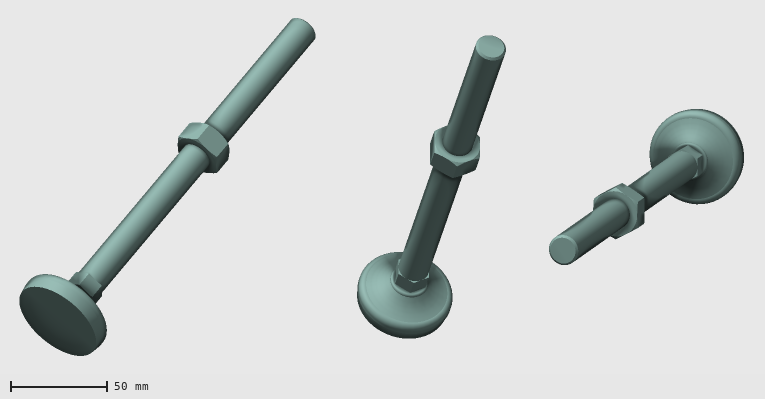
import cadquery as cq
import math

total_length = 229

foot_diameter = 50.0
sole_diameter = 48.0
rim_band_start = 5.5
rim_band_end = 7.5
rim_round = 3.5
rim_top = rim_band_end + rim_round
foot_top = 18.8
foot_top_radius = 8.7
foot_top_round = 1.4
flare_mid_radius = 13.7
flare_mid_height = 14.5

rod_diameter = 16.0
rod_end_chamfer = 1.1
neck_diameter = 10.0
wrench_hex_start = 20.2
wrench_hex_end = 29.0

nut_across_flats = 24.0
nut_start = 129.4
nut_end = 141.8
nut_lower_chamfer = 0.7
nut_upper_chamfer = 1.1


def cylinder(diameter, start, end):
    """Round bar along Y from start to end."""
    plane = cq.Workplane("XZ", origin=(0, start, 0))
    return plane.circle(diameter / 2).extrude(start - end)


def hexagon(across_flats, start, end):
    """Hexagonal bar along Y, with corners at the top and bottom in Z."""
    corner_diameter = across_flats / math.cos(math.pi / 6)
    plane = cq.Workplane("XZ", origin=(0, start, 0)).transformed(rotate=(0, 0, 90))
    return plane.polygon(6, corner_diameter).extrude(start - end)


def revolve_about_y(profile):
    return profile.close().revolve(360, (0, 0, 0), (0, 1, 0))


def make_foot():
    """Foot with a tapered sole edge, rounded rim and concave flare."""
    rim_radius = foot_diameter / 2
    shelf_radius = rim_radius - rim_round
    diagonal = math.sqrt(0.5)
    rim_arc_mid = (shelf_radius + rim_round * diagonal, rim_band_end + rim_round * diagonal)
    collar_center_height = foot_top - foot_top_round
    collar_arc_mid = (
        foot_top_radius + foot_top_round * diagonal,
        collar_center_height + foot_top_round * diagonal,
    )
    profile = (
        cq.Workplane("XY")
        .lineTo(sole_diameter / 2, 0)
        .lineTo(rim_radius, rim_band_start)
        .lineTo(rim_radius, rim_band_end)
        .threePointArc(rim_arc_mid, (shelf_radius, rim_top))
        .threePointArc(
            (flare_mid_radius, flare_mid_height),
            (foot_top_radius + foot_top_round, collar_center_height),
        )
        .threePointArc(collar_arc_mid, (foot_top_radius, foot_top))
        .lineTo(0, foot_top)
    )
    return revolve_about_y(profile)


def make_spindle():
    """Plain rod with a wrench hexagon and a thinner neck entering the foot."""
    rod = cylinder(rod_diameter, wrench_hex_end, total_length)
    rod = rod.faces(">Y").chamfer(rod_end_chamfer)
    wrench_hex = hexagon(rod_diameter, wrench_hex_start, wrench_hex_end)
    neck = cylinder(neck_diameter, rim_top, wrench_hex_start)
    return rod.union(wrench_hex).union(neck)


def make_nut():
    """Hexagonal nut whose corners are cut back by a cone at each end."""
    face_radius = nut_across_flats / 2
    corner_radius = face_radius / math.cos(math.pi / 6)
    cone_envelope = revolve_about_y(
        cq.Workplane("XY")
        .moveTo(0, nut_start)
        .lineTo(face_radius, nut_start)
        .lineTo(corner_radius, nut_start + nut_lower_chamfer)
        .lineTo(corner_radius, nut_end - nut_upper_chamfer)
        .lineTo(face_radius, nut_end)
        .lineTo(0, nut_end)
    )
    return hexagon(nut_across_flats, nut_start, nut_end).intersect(cone_envelope)


result = make_foot().union(make_spindle()).union(make_nut())